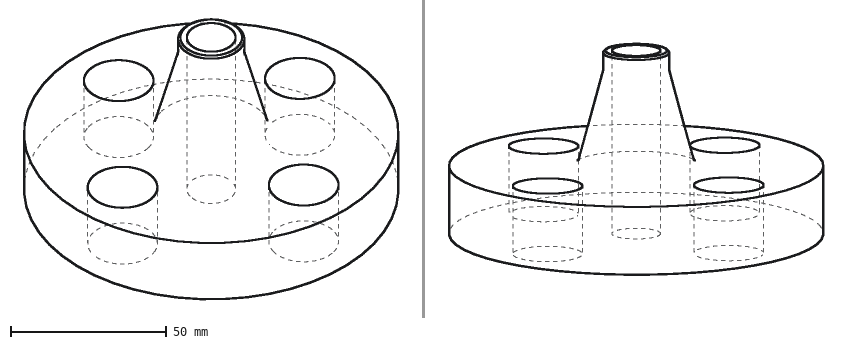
import cadquery as cq

flange_diameter = 120.6
flange_thickness = 22.4

bolt_count = 4
bolt_circle_diameter = 82.5
bolt_hole_diameter = 22.4

total_height = 60.4
hub_base_diameter = 38.1
hub_fillet_radius = 3.0
neck_diameter = 21.3
neck_length = 6.5
neck_chamfer = 0.7
bore_diameter = 15.7

flange_radius = flange_diameter / 2
hub_base_radius = hub_base_diameter / 2
neck_radius = neck_diameter / 2
neck_start = total_height - neck_length


def make_body():
    """Revolve the disc, cone and neck as one solid, standing on Z = 0."""
    return (
        cq.Workplane("XZ")
        .lineTo(flange_radius, 0)
        .lineTo(flange_radius, flange_thickness)
        .lineTo(hub_base_radius, flange_thickness)
        .lineTo(neck_radius, neck_start)
        .lineTo(neck_radius, total_height)
        .lineTo(0, total_height)
        .close()
        .revolve(360, (0, 0, 0), (0, 1, 0))
    )


def round_hub_base(body):
    """Fillet the circle where the cone meets the disc."""
    hub_circle = cq.selectors.RadiusNthSelector(1)
    return body.edges("%CIRCLE").edges(hub_circle).fillet(hub_fillet_radius)


def cut_bore(body):
    """Cut the straight bore through the neck, hub and disc."""
    bore = cq.Workplane("XY").circle(bore_diameter / 2).extrude(total_height)
    return body.cut(bore)


def cut_bolt_holes(body):
    """Cut the bolt holes, the first of them on the X axis."""
    holes = (
        cq.Workplane("XY")
        .polarArray(bolt_circle_diameter / 2, 0, 360, bolt_count)
        .circle(bolt_hole_diameter / 2)
        .extrude(flange_thickness)
    )
    return body.cut(holes)


body = make_body()
body = round_hub_base(body)
body = body.faces(">Z").edges().chamfer(neck_chamfer)
body = cut_bore(body)
result = cut_bolt_holes(body)